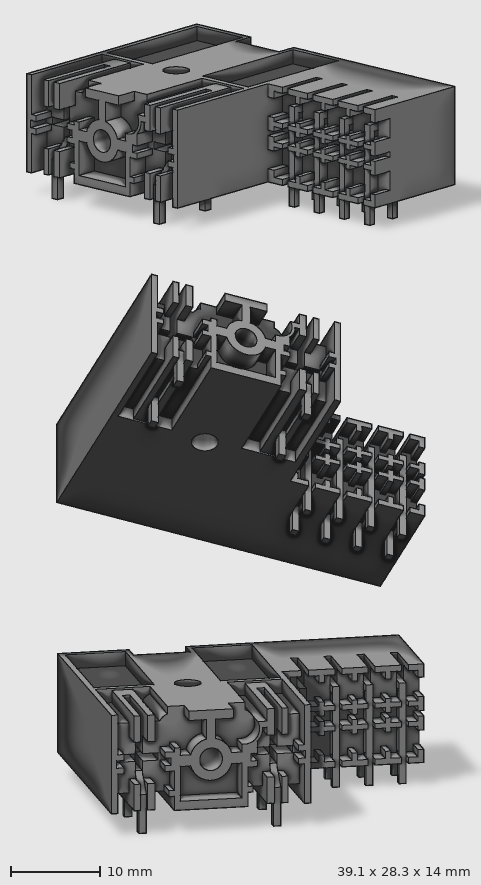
import cadquery as cq

total_length = 39.07
total_depth = 28.3
body_height = 11.4
pin_drop = 2.6
block_length = 22.84
wing_front = 15.03
mid_x = block_length / 2
mid_z = body_height / 2
wall = 0.73
floor_depth = 1.64

frame_depth = 2.6

pocket_length = 6.87
pocket_front = 12.56
pocket_back = 27.53

channel_back = 11.76
channel_inner = 6.97
rib_left = 2.6
rib_right = 5.0
rib_inset = 0.22
fork_height = 3.05
lobe_radius = 1.7
lobe_x = 7.57
lobe_z = 8.94
shell_radius = 2.05
shelf_bottom = 9.04

boss_radius = 2.43
bore_radius = 1.3
bore_depth = 8.0
screw_hole_radius = 1.5
screw_hole_y = 12.33
web_bottom = 5.06
web_top = 6.35
neck_width = 1.04
roof_width = 5.06
roof_thickness = 1.08
box_outer = 7.2
box_inner = 7.9
box_floor = 1.04
box_wall_top = lobe_z - lobe_radius
guide_bottom = 4.57
guide_top = 6.8
guide_left_end = 1.43
guide_right_start = 6.14
tooth_start = 6.6
tooth_top = 2.33

notch_length = 6.5
notch_depth = 2.45

blade_left = 3.3
blade_thickness = 0.84
blade_slot_depth = 9.3
flat_slot_bottom = 5.25
flat_slot_top = 6.1
flat_slot_left = 0.6
flat_slot_right = 6.84
flat_slot_step = 0.92
flat_slot_depth = 6.7

blade_front = 0.6
blade_back = 9.2
contact_body_bottom = 1.0
leg_width = 1.0
blade_nose_z = 1.88
blade_slope_end = 2.85
blade_shoulder_z = 4.1
blade_step_y = 6.7

pole_count = 4
pole_pitch = 3.81
first_pole_x = 25.45
pole_slot_width = 0.8
pole_slot_back = 20.7
pole_front = 16.12
pole_top = 9.04
pole_window_bottom = 7.2
pole_window_top = 8.2
pole_leg_width = 0.8
comb_depth = 2.45
comb_tooth_width = 0.64
comb_end_left = 0.92
comb_end_right = 0.7
comb_skin = 0.7
comb_plate_gap = 1.77
comb_plate = 0.59
outer_tooth = 0.83
inner_tooth = 0.47
middle_tooth = 0.58


def box(x0, x1, y0, y1, z0, z1):
    return cq.Workplane("XY").box(x1 - x0, y1 - y0, z1 - z0, centered=False).translate((x0, y0, z0))


def cylinder_y(x, z, radius, y0, y1):
    return cq.Workplane("XZ", origin=(x, y0, z)).circle(radius).extrude(y0 - y1)


def mirrored(shape):
    """Copy of a shape on the other side of the block's centre plane."""
    return shape.mirror("YZ", (mid_x, 0, 0))


def frame_bar(x0, x1, z0, z1):
    return box(x0, x1, 0, frame_depth, z0, z1)


def main_body():
    block = box(0, block_length, frame_depth, total_depth, 0, body_height)
    wing = box(block_length, total_length, wing_front + comb_depth, total_depth, 0, body_height)
    return block.union(wing)


def top_pocket():
    return box(wall, wall + pocket_length, pocket_front, pocket_back,
               body_height - floor_depth, body_height)


def contact_channels():
    """Upper channel with its rounded shoulder and lower channel, less the fork rib."""
    upper = box(wall, channel_inner, frame_depth, channel_back, body_height - floor_depth, body_height)
    upper = upper.cut(cylinder_y(lobe_x, lobe_z, lobe_radius, frame_depth, channel_back))
    lower = box(wall, box_outer, frame_depth, channel_back, 0, floor_depth)
    rib = box(rib_left, rib_right, 0, channel_back, rib_inset, body_height - rib_inset)
    return upper.union(lower).cut(rib)


def frame_side():
    """Outer wall, fork arms, guides and box wall standing in front of one channel."""
    side = frame_bar(0, wall, 0, body_height)
    side = side.union(frame_bar(wall, guide_left_end, guide_bottom, guide_top))
    side = side.union(frame_bar(guide_right_start, box_outer, guide_bottom, guide_top))
    side = side.union(frame_bar(box_outer, box_inner, 0, box_wall_top))
    shoulder = frame_bar(box_outer, lobe_x, box_wall_top, lobe_z)
    side = side.union(shoulder.cut(cylinder_y(lobe_x, lobe_z, lobe_radius, 0, frame_depth)))
    side = side.union(frame_bar(tooth_start, box_outer, floor_depth, tooth_top))
    for z in (rib_inset, body_height - rib_inset - fork_height):
        side = side.union(frame_bar(rib_left, rib_right, z, z + fork_height))
    return side


def frame_centre():
    """Roof, neck, ring and box floor in the middle of the frame."""
    roof_bottom = body_height - roof_thickness
    centre = frame_bar(mid_x - roof_width / 2, mid_x + roof_width / 2, roof_bottom, body_height)
    centre = centre.union(frame_bar(mid_x - neck_width / 2, mid_x + neck_width / 2, mid_z, roof_bottom))
    centre = centre.union(cylinder_y(mid_x, mid_z, boss_radius, 0, frame_depth))
    centre = centre.union(frame_bar(box_inner, block_length - box_inner, web_bottom, web_top))
    return centre.union(frame_bar(box_inner, block_length - box_inner, 0, box_floor))


def trough():
    """Open round trough beside the right fork, with the shelf that joins it to the fork."""
    centre_x = block_length - lobe_x
    upper_z = body_height - floor_depth
    guide_x = block_length - guide_right_start
    fork_x = block_length - rib_right
    shell = cylinder_y(centre_x, lobe_z, shell_radius, 0, frame_depth)
    shell = shell.intersect(frame_bar(centre_x, fork_x, guide_top, upper_z))
    web_end_z = lobe_z - lobe_radius / 2
    shell = shell.union(frame_bar(block_length - box_outer, guide_x, guide_top, web_end_z))
    shell = shell.union(frame_bar(centre_x + lobe_radius, fork_x, shelf_bottom, upper_z))
    return shell.cut(cylinder_y(centre_x, lobe_z, lobe_radius, 0, frame_depth))


def contact_slots():
    """Crossed slots for one large contact: upright blade and flat tongue."""
    blade = box(blade_left, blade_left + blade_thickness, 0, blade_slot_depth, 0, body_height)
    flat = box(flat_slot_left, flat_slot_right, 0, frame_depth, flat_slot_bottom, flat_slot_top)
    narrow = box(flat_slot_left + flat_slot_step, flat_slot_right - flat_slot_step,
                 0, flat_slot_depth, flat_slot_bottom, flat_slot_top)
    return blade.union(flat).union(narrow)


def large_contact():
    outline = [
        (blade_front, -pin_drop),
        (blade_front, blade_nose_z),
        (blade_slope_end, blade_shoulder_z),
        (blade_step_y, blade_shoulder_z),
        (blade_step_y, flat_slot_top),
        (blade_back, flat_slot_top),
        (blade_back, -pin_drop),
        (blade_back - leg_width, -pin_drop),
        (blade_back - leg_width, contact_body_bottom),
        (blade_front + leg_width, contact_body_bottom),
        (blade_front + leg_width, -pin_drop),
    ]
    blade = cq.Workplane("YZ", origin=(blade_left, 0, 0)).polyline(outline).close()
    return blade.extrude(blade_thickness)


def rear_notch():
    front = total_depth - notch_depth
    notch = box(mid_x - notch_length / 2, mid_x + notch_length / 2, front, total_depth,
                web_top, body_height)
    return notch.cut(cylinder_y(mid_x, mid_z, boss_radius, front, total_depth))


def comb_half():
    """Lower half of the comb: outer skin and middle plate, each with its teeth."""
    back = wing_front + comb_depth
    plate_top = mid_z - comb_plate_gap / 2
    plate_bottom = plate_top - comb_plate
    comb = box(block_length, total_length, wing_front, back, 0, comb_skin)
    comb = comb.union(box(block_length, total_length, wing_front, back, plate_bottom, plate_top))
    teeth = [(block_length, block_length + comb_end_left),
             (total_length - comb_end_right, total_length)]
    for i in range(pole_count - 1):
        middle = first_pole_x + i * pole_pitch + pole_pitch / 2
        teeth.append((middle - comb_tooth_width / 2, middle + comb_tooth_width / 2))
    for x0, x1 in teeth:
        comb = comb.union(box(x0, x1, wing_front, back, 0, comb_skin + outer_tooth))
        comb = comb.union(box(x0, x1, wing_front, back, plate_bottom - inner_tooth,
                              plate_top + middle_tooth))
    return comb


def pole_slot(x):
    half = pole_slot_width / 2
    return box(x - half, x + half, wing_front, pole_slot_back, 0, body_height)


def pole_contact(x):
    """Upright plate with a window between its posts and two legs that end in solder pins."""
    half = pole_slot_width / 2
    contact = box(x - half, x + half, pole_front, pole_slot_back, -pin_drop, pole_top)
    inner_front = pole_front + pole_leg_width
    inner_back = pole_slot_back - pole_leg_width
    leg_gap = box(x - half, x + half, inner_front, inner_back, -pin_drop, contact_body_bottom)
    window = box(x - half, x + half, inner_front, inner_back, pole_window_bottom, pole_window_top)
    return contact.cut(leg_gap).cut(window)


def both_sides(shape):
    return shape.union(mirrored(shape))


half_comb = comb_half()
result = main_body().cut(both_sides(contact_channels()))
result = result.union(both_sides(frame_side())).union(frame_centre()).union(trough())
result = result.union(half_comb).union(half_comb.mirror("XY", (0, 0, mid_z)))

result = result.cut(both_sides(top_pocket())).cut(rear_notch())
result = result.cut(cylinder_y(mid_x, mid_z, bore_radius, 0, bore_depth))
screw_hole = cq.Workplane("XY").center(mid_x, screw_hole_y).circle(screw_hole_radius)
result = result.cut(screw_hole.extrude(body_height))

result = result.cut(both_sides(contact_slots())).union(both_sides(large_contact()))

for pole in range(pole_count):
    pole_x = first_pole_x + pole * pole_pitch
    result = result.cut(pole_slot(pole_x)).union(pole_contact(pole_x))